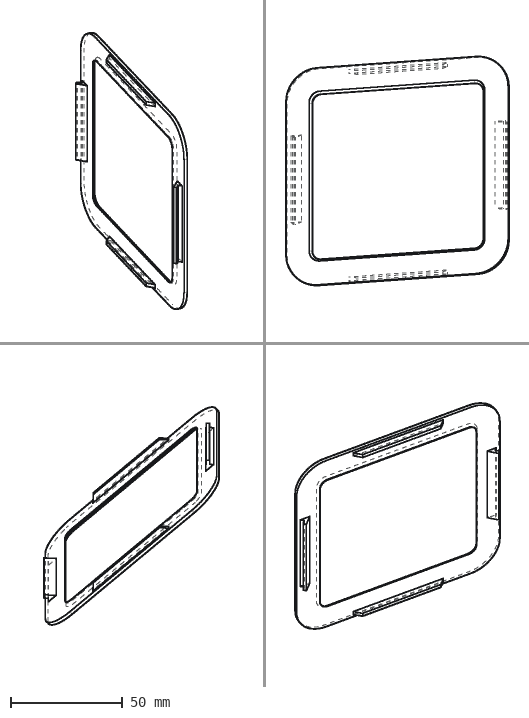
import cadquery as cq

frame_width = 104.0
frame_height = 100.0
frame_thickness = 1.7
frame_corner_radius = 15.0
window_width = 80.0
window_height = 76.0
window_corner_radius = 4.0
window_flare = 1.1

clip_length = 40.0
clip_reach = 3.8
clip_root_inset = 1.9
clip_root_width = 4.8
clip_notch_depth = 1.2
clip_corner_flat = 0.3

rib_crest_length = 40.0
rib_height = 3.0
rib_thickness = 1.8
rib_inset = 1.4


def rounded_plate(width, height, radius):
    """Plate with rounded corners and its front face on Y = 0."""
    return (
        cq.Workplane("XZ")
        .rect(width, height)
        .extrude(-frame_thickness)
        .edges("|Y")
        .fillet(radius)
    )


def make_frame():
    """Frame whose window widens at 45 degrees towards the back face."""
    plate = rounded_plate(frame_width, frame_height, frame_corner_radius)
    window = rounded_plate(window_width, window_height, window_corner_radius)
    back_window_width = window_width + 2 * window_flare
    back_window_height = window_height + 2 * window_flare
    back_window_radius = window_corner_radius + window_flare
    flare = (
        rounded_plate(back_window_width, back_window_height, back_window_radius)
        .faces("<Y")
        .chamfer(window_flare)
        .translate((0, frame_thickness - window_flare, 0))
    )
    return plate.cut(window).cut(flare)


def make_left_clip():
    """Hooked clip with faces sloping at 45 degrees and a blunted outer corner."""
    root_outer_x = -frame_width / 2 + clip_root_inset
    root_inner_x = root_outer_x + clip_root_width
    notch_x = root_outer_x + clip_notch_depth
    tip_x = root_inner_x - clip_reach
    tip_rise = clip_root_width / 2 - clip_notch_depth
    corner_y = -clip_reach + tip_rise
    flat_x = tip_x - tip_rise + clip_corner_flat / 2
    return (
        cq.Workplane("XY")
        .moveTo(root_outer_x, 0)
        .lineTo(notch_x, -clip_notch_depth)
        .lineTo(flat_x, corner_y + clip_corner_flat / 2)
        .lineTo(flat_x, corner_y - clip_corner_flat / 2)
        .lineTo(tip_x, -clip_reach)
        .lineTo(root_inner_x, 0)
        .close()
        .extrude(clip_length / 2, both=True)
    )


def make_top_rib():
    """Trapezoidal rib with 45 degree ends."""
    crest_x = rib_crest_length / 2
    root_x = crest_x + rib_height
    center_z = frame_height / 2 - rib_inset - rib_thickness / 2
    return (
        cq.Workplane("XY", origin=(0, 0, center_z))
        .polyline([(-root_x, 0), (-crest_x, -rib_height), (crest_x, -rib_height), (root_x, 0)])
        .close()
        .extrude(rib_thickness / 2, both=True)
    )


left_clip = make_left_clip()
top_rib = make_top_rib()
result = (
    make_frame()
    .union(left_clip)
    .union(left_clip.mirror("YZ"))
    .union(top_rib)
    .union(top_rib.mirror("XY"))
)